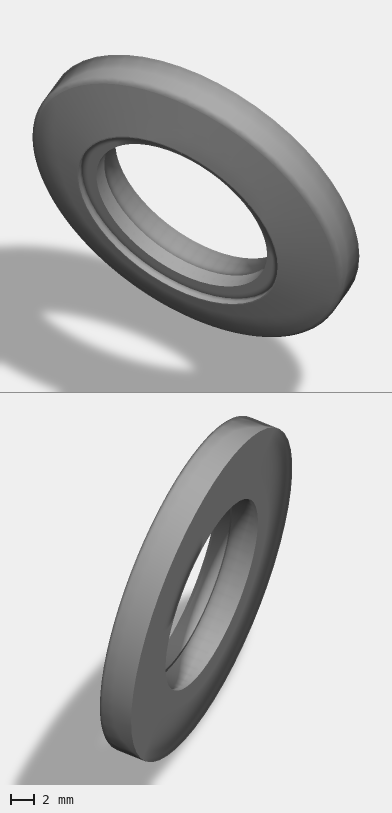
import cadquery as cq
import math

outer_diameter = 30.0
thickness = 4.4
rim_diameter = 19.5
cone_angle = 15.0
edge_radius = 0.5
front_recess_diameter = 19.3
front_recess_depth = 0.65
bore_diameter = 16.5
bore_length = 1.32
back_recess_diameter = 17.2

outer_radius = outer_diameter / 2
rim_radius = rim_diameter / 2
cone_height = (outer_radius - rim_radius) * math.tan(math.radians(cone_angle))
wall_height = thickness - cone_height
back_recess_depth = thickness - front_recess_depth - bore_length


def make_body():
    """Revolve the outer shape, with its back on Y = 0, and round the outer front edge."""
    profile = (
        cq.Workplane("XY")
        .polyline([
            (0, 0),
            (outer_radius, 0),
            (outer_radius, -wall_height),
            (rim_radius, -thickness),
            (0, -thickness),
        ])
        .close()
    )
    body = profile.revolve(360, (0, 0), (0, 1))
    outer_front_edge = cq.selectors.RadiusNthSelector(-1)
    front_half = cq.selectors.BoxSelector(
        (-outer_diameter, -thickness, -outer_diameter),
        (outer_diameter, -wall_height / 2, outer_diameter),
    )
    return body.edges("%CIRCLE").edges(front_half).edges(outer_front_edge).fillet(edge_radius)


def make_disc(diameter, back_y, length):
    """Disc on the ring axis that reaches from back_y toward -Y."""
    return cq.Workplane("XZ", origin=(0, back_y, 0)).circle(diameter / 2).extrude(length)


front_recess = make_disc(front_recess_diameter, front_recess_depth - thickness, front_recess_depth)
bore = make_disc(bore_diameter, 0, thickness)
back_recess = make_disc(back_recess_diameter, 0, back_recess_depth)

ring = make_body().cut(front_recess).cut(bore).cut(back_recess)

result = ring.translate((0, thickness / 2, 0))